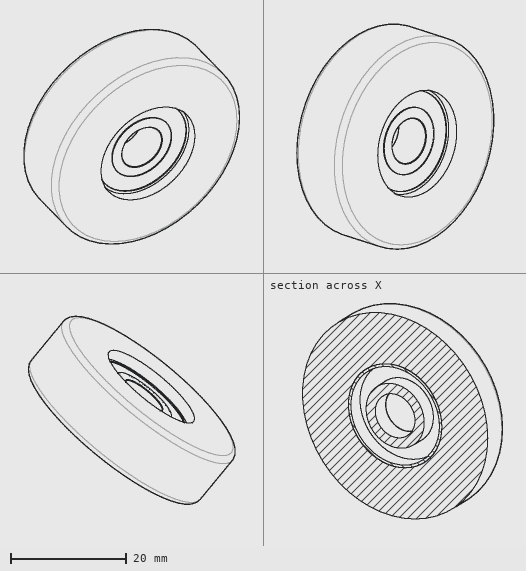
import cadquery as cq

wheel_diameter = 38.0
wheel_width = 11.0
wheel_edge_radius = 1.0

bearing_diameter = 19.0
bearing_recess = 2.0
bearing_width = wheel_width - 2 * bearing_recess
bore_diameter = 8.0
bore_chamfer = 0.1
inner_ring_diameter = 12.0
shield_diameter = 18.0

shield_recess = 0.2
shield_thickness = 0.38


def make_tube(outer_diameter, inner_diameter, width, center_x=0.0):
    """Tube about the X axis, centred at center_x."""
    return (
        cq.Workplane("YZ", origin=(center_x - width / 2, 0, 0))
        .circle(outer_diameter / 2)
        .circle(inner_diameter / 2)
        .extrude(width)
    )


def make_wheel():
    """Wheel with rounded rims and a seat for the bearing right through it."""
    blank = cq.Workplane("YZ", origin=(-wheel_width / 2, 0, 0)).circle(wheel_diameter / 2).extrude(wheel_width)
    rounded = blank.edges("%CIRCLE").fillet(wheel_edge_radius)
    seat = cq.Workplane("YZ", origin=(-wheel_width / 2, 0, 0)).circle(bearing_diameter / 2).extrude(wheel_width)
    return rounded.cut(seat)


def make_outer_ring():
    return make_tube(bearing_diameter, shield_diameter, bearing_width)


def make_inner_ring():
    """Inner ring with both mouths of its bore chamfered."""
    ring = make_tube(inner_ring_diameter, bore_diameter, bearing_width)
    bore_edges = ring.edges(cq.selectors.RadiusNthSelector(0))
    return bore_edges.chamfer(bore_chamfer)


def make_shield(side):
    """Annular shield between the rings, on the -X (-1) or +X (+1) side."""
    center_x = side * (bearing_width / 2 - shield_recess - shield_thickness / 2)
    return make_tube(shield_diameter, inner_ring_diameter, shield_thickness, center_x)


wheel = make_wheel()
outer_ring = make_outer_ring()
inner_ring = make_inner_ring()
shields = [make_shield(side).val() for side in (-1, 1)]

result = cq.Compound.makeCompound([wheel.val(), outer_ring.val(), inner_ring.val(), *shields])